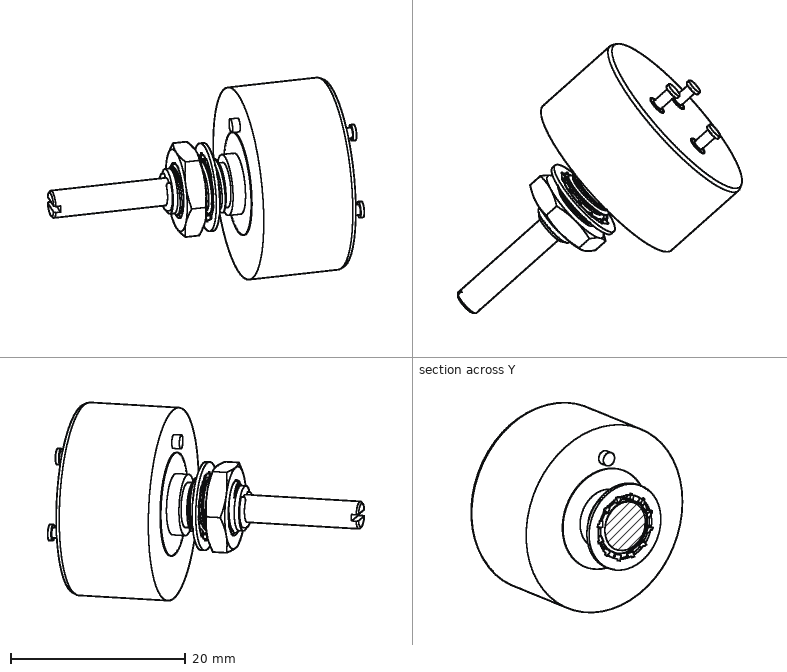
import cadquery as cq
import math


housing_diameter = 22.2
housing_length = 11.0
rim_chamfer = 0.45
rim_chamfer_radial = 0.2

terminal_circle_radius = 4.8
terminal_angles = (90, 225, 315)
terminal_length = 2.78
terminal_diameter = 1.23
terminal_head_diameter = 1.88
terminal_head_thickness = 0.4
terminal_collar_diameter = 2.25
terminal_collar_thickness = 0.1

locating_pin_diameter = 1.6
locating_pin_length = 0.9
locating_pin_height = 7.37
pad_diameter = 11.92
pad_thickness = 0.1

shoulder_diameter = 7.05
shoulder_depth = 1.6
neck_diameter = 5.2
thread_start_depth = 2.3
thread_end_depth = 7.9
bushing_end_depth = 8.45

thread_pitch = 0.8
thread_major_radius = 3.18
thread_root_radius = 2.7
thread_foot_radius = 2.53
thread_foot_width = 0.75
thread_crest_width = 0.1
helix_start_depth = 1.6
helix_turns = 9
thread_taper_angle = 35
envelope_clearance = 0.35

nut_across_flats = 9.45
nut_front_depth = 7.37
nut_thickness = 2.3
nut_chamfer_angle = 25
nut_recess_depth = 0.33
nut_recess_diameter = 6.4

total_length = 36.12
shaft_diameter = 3.18
tip_chamfer = 0.2
slot_width = 0.75
slot_length = 0.75
clip_outer_diameter = 4.48
clip_thickness = 0.4
clip_fillet = 0.2
clip_end_angle = 48

washer_diameter = 10.2
washer_inner_diameter = 7.6
washer_thickness = 0.45
washer_depth = 3.58
tooth_count = 12
tooth_tip_radius = 3.3
tooth_width = 0.72
tooth_twist = 20
tooth_root_overlap = 0.18

rear_reach = housing_length + terminal_length
shaft_tip_depth = total_length - rear_reach
nut_rear_depth = nut_front_depth - nut_thickness
nut_across_corners = nut_across_flats / math.cos(math.radians(30))


def disc(diameter, start_depth, end_depth, x=0, z=0):
    """Cylinder parallel to the shaft axis between two depths."""
    return (
        cq.Workplane("XZ", origin=(0, -start_depth, 0))
        .center(x, z)
        .circle(diameter / 2)
        .extrude(end_depth - start_depth)
    )


def turned(points):
    """Solid of revolution about the shaft axis from (radius, depth) points."""
    outline = [(radius, -depth) for radius, depth in points]
    return cq.Workplane("XY").polyline(outline).close().revolve(360, (0, 0), (0, 1))


def make_can():
    radius = housing_diameter / 2
    return turned([
        (0, 0),
        (radius, 0),
        (radius, rim_chamfer - housing_length),
        (radius - rim_chamfer_radial, -housing_length),
        (0, -housing_length),
    ])


def make_terminal(angle):
    x = terminal_circle_radius * math.cos(math.radians(angle))
    z = terminal_circle_radius * math.sin(math.radians(angle))
    collar_end = -housing_length - terminal_collar_thickness
    head_start = terminal_head_thickness - rear_reach
    stem = disc(terminal_diameter, -housing_length, -rear_reach, x, z)
    collar = disc(terminal_collar_diameter, -housing_length, collar_end, x, z)
    head = disc(terminal_head_diameter, head_start, -rear_reach, x, z)
    return stem.union(collar).union(head)


def make_front_details():
    pad = disc(pad_diameter, 0, pad_thickness)
    pin = disc(locating_pin_diameter, 0, locating_pin_length, z=locating_pin_height)
    return pad.union(pin)


def make_thread():
    """Threaded length of the bushing, tapering down at its front end."""
    half_foot = thread_foot_width / 2
    half_crest = thread_crest_width / 2
    helix_length = helix_turns * thread_pitch
    helix = cq.Wire.makeHelix(thread_pitch, helix_length, thread_root_radius)
    ridge = (
        cq.Workplane("XZ")
        .moveTo(thread_foot_radius, -half_foot)
        .lineTo(thread_major_radius, -half_crest)
        .lineTo(thread_major_radius, half_crest)
        .lineTo(thread_foot_radius, half_foot)
        .close()
        .sweep(cq.Workplane(obj=helix), isFrenet=True)
        .rotate((0, 0, 0), (1, 0, 0), 90)
        .translate((0, -helix_start_depth, 0))
    )
    core_start = helix_start_depth - thread_pitch
    core_end = helix_start_depth + helix_length + thread_pitch
    core = disc(2 * thread_root_radius, core_start, core_end)
    envelope_radius = thread_major_radius + envelope_clearance
    envelope_radial_drop = envelope_radius - neck_diameter / 2
    envelope_taper_length = envelope_radial_drop / math.tan(math.radians(thread_taper_angle))
    envelope = turned([
        (0, thread_start_depth),
        (envelope_radius, thread_start_depth),
        (envelope_radius, thread_end_depth - envelope_taper_length),
        (neck_diameter / 2, thread_end_depth),
        (0, thread_end_depth),
    ])
    return core.union(ridge).intersect(envelope)


def make_bushing():
    shoulder = disc(shoulder_diameter, 0, shoulder_depth)
    neck = disc(neck_diameter, 0, bushing_end_depth)
    return shoulder.union(neck).union(make_thread())


def make_nut():
    """Hexagon with corners chamfered on both faces, recessed around the thread's tapered end."""
    hexagon = (
        cq.Workplane("XZ", origin=(0, -nut_rear_depth, 0))
        .polygon(6, nut_across_corners)
        .extrude(nut_thickness)
    )
    face_radius = nut_across_flats / 2
    corner_radius = nut_across_corners / 2
    corner_drop = (corner_radius - face_radius) * math.tan(math.radians(nut_chamfer_angle))
    chamfer_envelope = turned([
        (0, nut_rear_depth),
        (face_radius, nut_rear_depth),
        (corner_radius, nut_rear_depth + corner_drop),
        (corner_radius, nut_front_depth - corner_drop),
        (face_radius, nut_front_depth),
        (0, nut_front_depth),
    ])
    recess_floor_depth = nut_front_depth - nut_recess_depth
    recess = disc(nut_recess_diameter, recess_floor_depth, nut_front_depth)
    return hexagon.intersect(chamfer_envelope).cut(recess)


def make_shaft():
    shaft = disc(shaft_diameter, 0, shaft_tip_depth).faces("<Y").chamfer(tip_chamfer)
    slot = cq.Workplane("XY").box(shaft_diameter, 2 * slot_length, slot_width)
    return shaft.cut(slot.translate((0, -shaft_tip_depth, 0)))


def make_clip():
    """C-shaped clip around the shaft, open towards +Z with rounded ends."""

    def on_circle(radius, angle):
        return (radius * math.cos(math.radians(angle)), radius * math.sin(math.radians(angle)))

    outer_radius = clip_outer_diameter / 2
    inner_radius = shaft_diameter / 2 - clip_fillet
    end_radius = (outer_radius - inner_radius) / 2
    middle_radius = (outer_radius + inner_radius) / 2
    right_angle = 90 - clip_end_angle
    left_angle = 90 + clip_end_angle
    middle_x, middle_z = on_circle(middle_radius, right_angle)
    tip_x = middle_x - end_radius * math.sin(math.radians(right_angle))
    tip_z = middle_z + end_radius * math.cos(math.radians(right_angle))
    clip = (
        cq.Workplane("XZ", origin=(0, -bushing_end_depth, 0))
        .moveTo(*on_circle(outer_radius, right_angle))
        .threePointArc((0, -outer_radius), on_circle(outer_radius, left_angle))
        .threePointArc((-tip_x, tip_z), on_circle(inner_radius, left_angle))
        .threePointArc((0, -inner_radius), on_circle(inner_radius, right_angle))
        .threePointArc((tip_x, tip_z), on_circle(outer_radius, right_angle))
        .close()
        .extrude(clip_thickness)
    )
    return clip.faces("<Y").edges().fillet(clip_fillet)


def make_potentiometer():
    """Housing, terminals, bushing, nut, shaft and clip as one solid."""
    body = make_can().union(make_front_details()).union(make_bushing()).union(make_nut())
    body = body.union(make_shaft()).union(make_clip())
    for angle in terminal_angles:
        body = body.union(make_terminal(angle))
    return body


def make_lock_washer():
    """Flat ring whose inner teeth are each twisted about their radial line."""
    end_depth = washer_depth + washer_thickness
    washer = disc(washer_diameter, washer_depth, end_depth)
    washer = washer.cut(disc(washer_inner_diameter, washer_depth, end_depth))
    tooth_root_radius = washer_inner_diameter / 2 + tooth_root_overlap
    tooth_length = tooth_root_radius - tooth_tip_radius
    middle_depth = washer_depth + washer_thickness / 2
    tooth = (
        cq.Workplane("XY")
        .box(tooth_length, washer_thickness, tooth_width)
        .rotate((0, 0, 0), (1, 0, 0), tooth_twist)
        .translate((tooth_tip_radius + tooth_length / 2, -middle_depth, 0))
    )
    tooth_spacing = 360 / tooth_count
    for index in range(tooth_count):
        angle = (index + 0.5) * tooth_spacing
        washer = washer.union(tooth.rotate((0, 0, 0), (0, 1, 0), angle))
    return washer


potentiometer = make_potentiometer()
lock_washer = make_lock_washer()
result = cq.Compound.makeCompound([potentiometer.val(), lock_washer.val()])